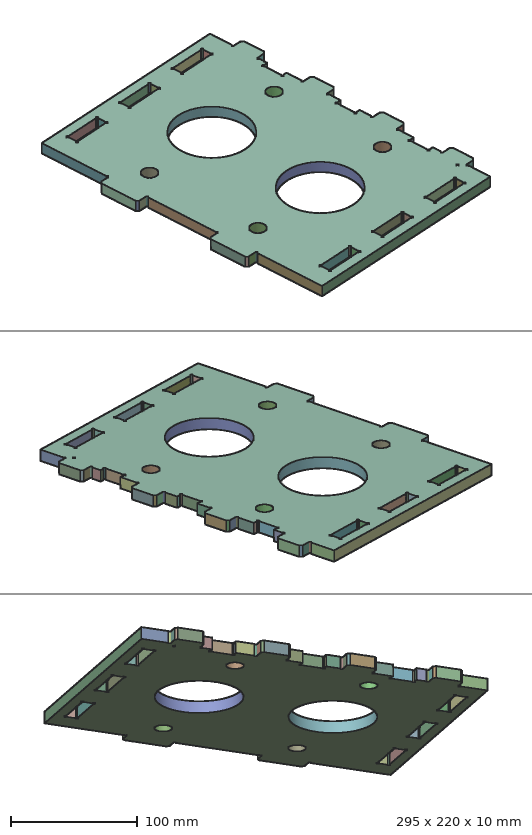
import cadquery as cq

length = 295.0
width = 200.0
thickness = 10.0

tab_depth = 10.0
tab_chamfer = 2.0
rear_tab_count = 4
rear_tab_width = 25.0
rear_tab_span = 220.0
rear_tab_pitch = rear_tab_span / (rear_tab_count - 1)
front_tab_width = 40.0
front_tab_pitch = 115.0

notch_count = 3
notch_width = 20.0
notch_depth = 5.0
notch_pitch = 77.0

slot_count = 3
slot_width = 10.0
slot_length = 35.0
slot_pitch = 62.5
slot_column_spacing = 266.0

opening_diameter = 70.0
opening_pitch = 114.0
bolt_hole_diameter = 14.0
bolt_row_spacing = 148.0

relief_diameter = 2.0
lone_relief_x = 117.5

rear_edge = width / 2
front_edge = -width / 2
notch_floor = rear_edge - notch_depth


def centred_row(count, pitch):
    """Positions of evenly spaced items centred on zero."""
    return [(i - (count - 1) / 2) * pitch for i in range(count)]


def edge_pairs(centres, item_width):
    """Both side positions of every item."""
    return [c + side * item_width / 2 for c in centres for side in (-1, 1)]


def block(size_x, size_y, centres):
    """Full-thickness rectangular blocks at the given centres."""
    return cq.Workplane("XY").pushPoints(centres).rect(size_x, size_y).extrude(thickness)


def cylinders(diameter, centres):
    """Full-thickness cylinders at the given centres."""
    return cq.Workplane("XY").pushPoints(centres).circle(diameter / 2).extrude(thickness)


def tabs(tab_width, centres, edge, outward):
    """Tabs standing out from a long edge, with chamfered outer corners."""
    outer_face = ">Y" if outward > 0 else "<Y"
    row = block(tab_width, 2 * tab_depth, [(x, edge) for x in centres])
    return row.faces(outer_face).edges("|Z").chamfer(tab_chamfer)


rear_tabs = centred_row(rear_tab_count, rear_tab_pitch)
front_tabs = centred_row(2, front_tab_pitch)
notches = centred_row(notch_count, notch_pitch)
slot_columns = centred_row(2, slot_column_spacing)
slot_rows = centred_row(slot_count, slot_pitch)
opening_columns = centred_row(2, opening_pitch)
bolt_rows = centred_row(2, bolt_row_spacing)

result = block(length, width, [(0, 0)])
result = result.union(tabs(rear_tab_width, rear_tabs, rear_edge, 1))
result = result.union(tabs(front_tab_width, front_tabs, front_edge, -1))

result = result.cut(block(notch_width, 2 * notch_depth, [(x, rear_edge) for x in notches]))
result = result.cut(block(slot_width, slot_length, [(x, y) for x in slot_columns for y in slot_rows]))
result = result.cut(cylinders(opening_diameter, [(x, 0) for x in opening_columns]))
result = result.cut(cylinders(bolt_hole_diameter, [(x, y) for x in opening_columns for y in bolt_rows]))

reliefs = [(x, rear_edge) for x in edge_pairs(rear_tabs, rear_tab_width + relief_diameter)]
reliefs += [(x, front_edge) for x in edge_pairs(front_tabs, front_tab_width + relief_diameter)]
reliefs += [(x, notch_floor) for x in edge_pairs(notches, notch_width)]
reliefs += [
    (x, y)
    for x in edge_pairs(slot_columns, slot_width)
    for y in edge_pairs(slot_rows, slot_length)
]
reliefs.append((lone_relief_x, notch_floor))
result = result.cut(cylinders(relief_diameter, reliefs))